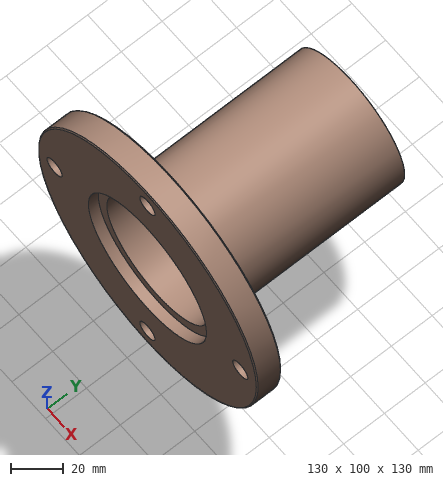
import cadquery as cq

flange_diameter = 130.0
flange_thickness = 12.0
flange_chamfer = 0.5

overall_length = 100.0
tube_diameter = 63.5
bore_diameter = 60.0

recess_diameter = 70.0
recess_depth = 5.0

bolt_hole_diameter = 9.0
bolt_circle_diameter = 110.0
bolt_hole_count = 4


def cylinder(diameter, length):
    """Solid cylinder about the Y axis, from Y = 0 toward +Y."""
    return cq.Workplane("XZ").circle(diameter / 2).extrude(-length)


flange = cylinder(flange_diameter, flange_thickness).edges().chamfer(flange_chamfer)
tube = cylinder(tube_diameter, overall_length)

bore = cylinder(bore_diameter, overall_length)
recess = cylinder(recess_diameter, recess_depth)

bolt_holes = (
    cq.Workplane("XZ")
    .polarArray(bolt_circle_diameter / 2, 0, 360, bolt_hole_count)
    .circle(bolt_hole_diameter / 2)
    .extrude(-flange_thickness)
)

result = flange.union(tube).cut(bore).cut(recess).cut(bolt_holes)